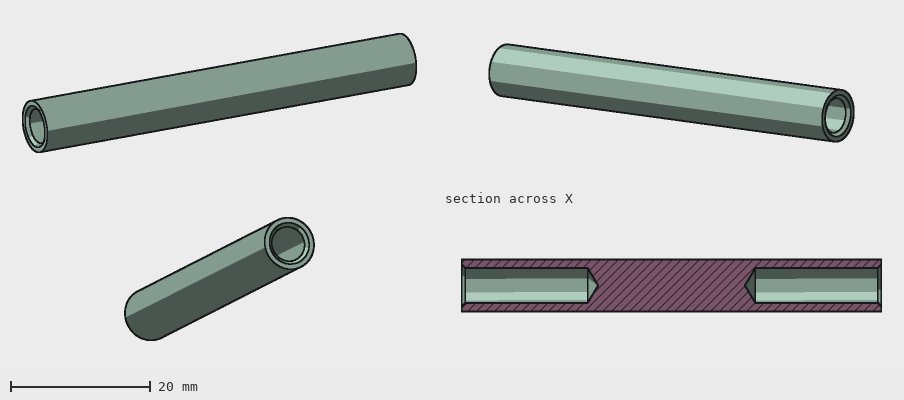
import cadquery as cq
import math

length = 60.0
outer_diameter = 7.5
bore_diameter = 5.0
mouth_diameter = 6.0
bore_depth = 18.0
drill_tip_angle = 118.0
countersink_angle = 90.0

outer_radius = outer_diameter / 2
bore_radius = bore_diameter / 2
mouth_radius = mouth_diameter / 2
countersink_depth = (mouth_radius - bore_radius) / math.tan(math.radians(countersink_angle / 2))
tip_depth = bore_depth + bore_radius / math.tan(math.radians(drill_tip_angle / 2))


def blind_hole():
    """Hole entering the -Y end: countersink, straight bore and conical drill tip."""
    front = -length / 2
    return (
        cq.Workplane("XY")
        .moveTo(0, front)
        .lineTo(mouth_radius, front)
        .lineTo(bore_radius, front + countersink_depth)
        .lineTo(bore_radius, front + bore_depth)
        .lineTo(0, front + tip_depth)
        .close()
        .revolve(360, (0, 0, 0), (0, 1, 0))
    )


body = cq.Workplane("XZ", origin=(0, length / 2, 0)).circle(outer_radius).extrude(length)
front_hole = blind_hole()
back_hole = front_hole.mirror("XZ")

result = body.cut(front_hole).cut(back_hole)